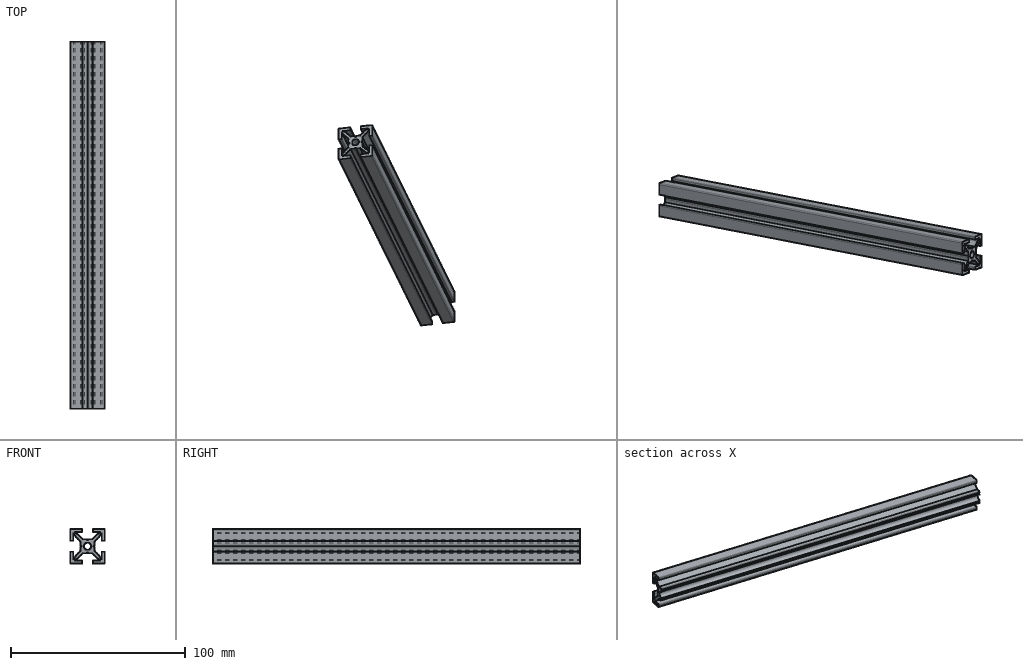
import cadquery as cq
import math

length = 210.0
side = 20.0
corner_radius = 0.6
slot_opening = 6.0
lip_edge_radius = 0.32
lip_thickness = 1.9
core_width = 8.2
web_thickness = 1.9
neck_thickness = 1.0
neck_length = 1.3
bore_diameter = 4.0
groove_width = 1.0
groove_edge_radius = 0.5
groove_depth = 0.6

half_side = side / 2
half_opening = slot_opening / 2
half_core = core_width / 2
cavity_top = half_side - lip_thickness
web_offset = web_thickness / math.sqrt(2)
neck_offset = neck_thickness / math.sqrt(2)
neck_start = cavity_top - neck_length


def prism(sketch):
    """Extrude a closed XZ outline over the full length."""
    return sketch.extrude(length / 2, both=True)


def slot_cutter():
    """T-slot open towards +Z, with a V-groove in its floor."""
    right_side = [
        (groove_width / 2, half_core),
        (half_core - web_offset, half_core),
        (neck_start - web_offset, neck_start),
        (cavity_top - neck_offset, cavity_top),
        (half_opening, cavity_top),
        (half_opening, half_side),
    ]
    left_side = [(-x, z) for x, z in reversed(right_side)]
    groove_bottom = (0, half_core - groove_depth)
    outline = [groove_bottom] + right_side + left_side
    return prism(cq.Workplane("XZ").polyline(outline).close())


def edges_at(points):
    """Select the lengthwise edges that pass through the given XZ points."""
    tolerance = 0.02
    selector = None
    for x, z in points:
        low = (x - tolerance, -tolerance, z - tolerance)
        high = (x + tolerance, tolerance, z + tolerance)
        box = cq.selectors.BoxSelector(low, high)
        selector = box if selector is None else selector + box
    return selector


def on_four_sides(x, z):
    """Place a point of the upper slot, and its mirror image, in all four slots."""
    return [(x, z), (-x, z), (x, -z), (-x, -z), (z, x), (z, -x), (-z, x), (-z, -x)]


body = prism(cq.Workplane("XZ").rect(side, side)).edges("|Y").fillet(corner_radius)
bore = prism(cq.Workplane("XZ").circle(bore_diameter / 2))

result = body.cut(bore)
for quarter_turn in range(4):
    slot = slot_cutter().rotate((0, 0, 0), (0, 1, 0), 90 * quarter_turn)
    result = result.cut(slot)

lip_edges = on_four_sides(half_opening, half_side) + on_four_sides(half_opening, cavity_top)
result = result.edges(edges_at(lip_edges)).fillet(lip_edge_radius)

groove_edges = on_four_sides(groove_width / 2, half_core)
result = result.edges(edges_at(groove_edges)).fillet(groove_edge_radius)